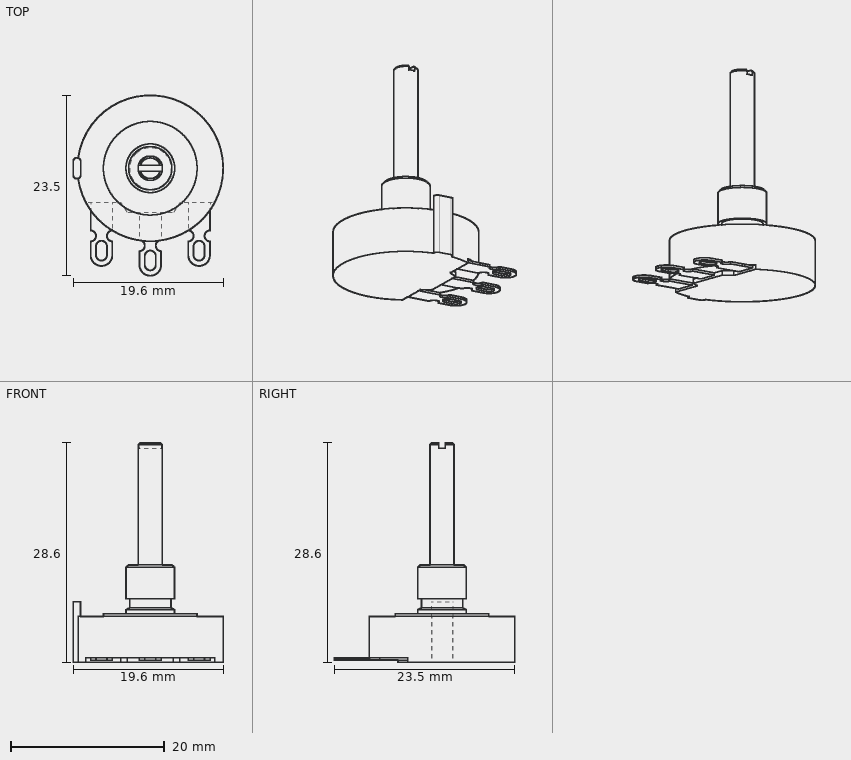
import cadquery as cq


INCH = 25.4

body_radius = 9.5
body_height = 6.0
plate_radius = 6.1
mounting_height = INCH / 4

bushing_radius = INCH / 8
bushing_top = mounting_height + INCH / 4
bushing_chamfer = 0.35
groove_radius = 2.7
groove_bottom = 7.1
groove_top = 8.25
collar_cone_height = 0.25

shaft_radius = INCH / 16
shaft_top = mounting_height + 7 * INCH / 8
shaft_chamfer = 0.25
driver_slot_width = 0.8
driver_slot_depth = 0.7

key_thickness = 1.0
key_width = 2.75
key_height = 7.9
key_outer_x = -10.05

step_height = 0.6
step_back_y = -4.44
step_front_y = -5.75
step_inner_half = 3.0
step_outer_half = 3.85

lug_pitch = INCH / 4
lug_thickness = 0.3
lug_width = 2.85
lug_hole_width = 1.4
lug_hole_length = 2.55
lug_notch_radius = 0.7
lug_hole_to_tip = (lug_width - lug_hole_width) / 2
lug_notch_to_tip = 3.92
middle_tip_y = -14.0
outer_tip_y = middle_tip_y + INCH / 20


def disc(radius, bottom, top):
    """Cylinder on the shaft axis between two heights."""
    return cq.Workplane("XY").workplane(offset=bottom).circle(radius).extrude(top - bottom)


def make_body():
    """Round housing, stepped underneath at the front, with its mounting plate."""
    reach = 2 * body_radius
    step = (
        cq.Workplane("XY")
        .moveTo(-reach, step_back_y)
        .lineTo(-step_outer_half, step_back_y)
        .lineTo(-step_inner_half, step_front_y)
        .lineTo(step_inner_half, step_front_y)
        .lineTo(step_outer_half, step_back_y)
        .lineTo(reach, step_back_y)
        .lineTo(reach, -reach)
        .lineTo(-reach, -reach)
        .close()
        .extrude(step_height)
    )
    housing = disc(body_radius, 0, body_height).cut(step)
    return housing.union(disc(plate_radius, body_height, mounting_height))


def make_bushing():
    """Collar coned down to the relief groove, then the chamfered barrel."""
    collar_profile = (
        cq.Workplane("XZ")
        .moveTo(0, mounting_height)
        .lineTo(bushing_radius, mounting_height)
        .lineTo(bushing_radius, groove_bottom - collar_cone_height)
        .lineTo(groove_radius, groove_bottom)
        .lineTo(0, groove_bottom)
        .close()
    )
    collar = collar_profile.revolve(360, (0, 0, 0), (0, 1, 0))
    neck = disc(groove_radius, groove_bottom, groove_top)
    barrel = disc(bushing_radius, groove_top, bushing_top).faces(">Z").chamfer(bushing_chamfer)
    return collar.union(neck).union(barrel)


def make_shaft():
    """Chamfered shaft with a screwdriver slot along X."""
    shaft = disc(shaft_radius, bushing_top, shaft_top).faces(">Z").chamfer(shaft_chamfer)
    slot = (
        cq.Workplane("XY")
        .workplane(offset=shaft_top - driver_slot_depth)
        .rect(4 * shaft_radius, driver_slot_width)
        .extrude(2 * driver_slot_depth)
    )
    return shaft.cut(slot)


def make_key():
    """Upright key with rounded ends, half sunk into the body rim."""
    return (
        cq.Workplane("XY")
        .center(key_outer_x + key_thickness / 2, 0)
        .slot2D(key_width, key_thickness, 90)
        .extrude(key_height)
    )


def make_lug(x, root_y, tip_y):
    """Flat lug against the step ceiling: round tip, oblong hole and notched waist."""
    half_width = lug_width / 2
    shoulder_y = tip_y + half_width
    plane = cq.Workplane("XY").workplane(offset=step_height - lug_thickness)
    blank = (
        plane.moveTo(x - half_width, root_y)
        .lineTo(x - half_width, shoulder_y)
        .threePointArc((x, tip_y), (x + half_width, shoulder_y))
        .lineTo(x + half_width, root_y)
        .close()
        .extrude(lug_thickness)
    )
    hole = (
        plane.center(x, tip_y + lug_hole_to_tip + lug_hole_length / 2)
        .slot2D(lug_hole_length, lug_hole_width, 90)
        .extrude(lug_thickness)
    )
    notch_y = tip_y + lug_notch_to_tip
    notches = (
        plane.pushPoints([(x - half_width, notch_y), (x + half_width, notch_y)])
        .circle(lug_notch_radius)
        .extrude(lug_thickness)
    )
    return blank.cut(hole).cut(notches)


result = make_body().union(make_bushing()).union(make_shaft()).union(make_key())
result = result.union(make_lug(0, step_front_y, middle_tip_y))
for side in (-1, 1):
    result = result.union(make_lug(side * lug_pitch, step_back_y, outer_tip_y))